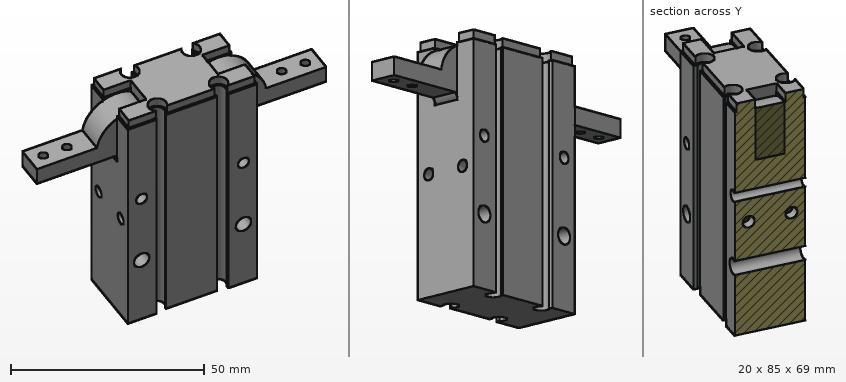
import cadquery as cq
import math

HOUSING_WIDTH = 20.0
HOUSING_DEPTH = 38.0
TOTAL_HEIGHT = 69.0
CAP_HEIGHT = 2.55
BODY_HEIGHT = TOTAL_HEIGHT - CAP_HEIGHT
EDGE_STEP = 0.5
WAIST_WIDTH = HOUSING_WIDTH - 2 * EDGE_STEP

GROOVE_X = 7.5
GROOVE_Y = 9.0
GROOVE_DIAMETER = 4.1
GROOVE_MOUTH = 3.1
CAP_NOTCH_DIAMETER = 5.0

SIDE_HOLE_Y = 15.0
UPPER_HOLE_DIAMETER = 3.2
UPPER_HOLE_Z = 41.1
LOWER_HOLE_DIAMETER = 4.5
LOWER_HOLE_Z = 20.15
END_HOLE_DIAMETER = 3.2
END_HOLE_X = 6.0
END_HOLE_Z = 33.0
END_HOLE_DEPTH = 5.95

FINGER_WIDTH = 8.0
CAP_SLOT_WIDTH = 8.5
POCKET_INNER_Y = 10.5
POCKET_FLOOR_Z = 51.1

FINGER_TIP_Y = 42.5
ARM_BOTTOM_Z = 53.0
ARM_TOP_Z = 58.05
HUB_RADIUS = 10.0
HUB_Y = SIDE_HOLE_Y
HUB_Z = BODY_HEIGHT - HUB_RADIUS
HEEL_RADIUS = 5.0
HEEL_Y = HUB_Y
HEEL_START_ANGLE = 25
FINGER_HOLE_DIAMETER = 2.5
FINGER_HOLE_YS = (31.5, 38.5)

SIDES = (-1, 1)


def block(width, depth, height, base_z):
    """Box centred on the Z axis, standing on base_z."""
    box = cq.Workplane("XY").box(width, depth, height, centered=(True, True, False))
    return box.translate((0, 0, base_z))


def end_block(width, inner_y, height, base_z, side):
    """Box from inner_y out to the housing end on one Y side."""
    depth = HOUSING_DEPTH / 2 - inner_y
    box = block(width, depth, height, base_z)
    return box.translate((0, side * (inner_y + depth / 2), 0))


def stepped_block(width, waist_width, depth, height, base_z):
    """Block whose side faces are set back between the two grooves."""
    waist = block(waist_width, depth, height, base_z)
    for side in SIDES:
        shoulder_depth = depth / 2 - GROOVE_Y
        shoulder = block(width, shoulder_depth, height, base_z)
        shoulder_y = side * (GROOVE_Y + shoulder_depth / 2)
        waist = waist.union(shoulder.translate((0, shoulder_y, 0)))
    return waist


def cut_grooves(body):
    mouth_length = HOUSING_WIDTH / 2 - GROOVE_X
    for x_side in SIDES:
        for y_side in SIDES:
            x = x_side * GROOVE_X
            y = y_side * GROOVE_Y
            bore = cq.Workplane("XY").center(x, y).circle(GROOVE_DIAMETER / 2).extrude(BODY_HEIGHT)
            mouth = block(mouth_length, GROOVE_MOUTH, BODY_HEIGHT, 0)
            mouth = mouth.translate((x + x_side * mouth_length / 2, y, 0))
            body = body.cut(bore).cut(mouth)
    return body


def cut_mounting_holes(body):
    for y_side in SIDES:
        y = y_side * SIDE_HOLE_Y
        for z, diameter in (
            (UPPER_HOLE_Z, UPPER_HOLE_DIAMETER),
            (LOWER_HOLE_Z, LOWER_HOLE_DIAMETER),
        ):
            drill = cq.Workplane("YZ").center(y, z).circle(diameter / 2)
            body = body.cut(drill.extrude(HOUSING_WIDTH / 2, both=True))
        for x_side in SIDES:
            start = cq.Vector(x_side * END_HOLE_X, y_side * HOUSING_DEPTH / 2, END_HOLE_Z)
            inward = cq.Vector(0, -y_side, 0)
            end_hole = cq.Solid.makeCylinder(END_HOLE_DIAMETER / 2, END_HOLE_DEPTH, start, inward)
            body = body.cut(cq.Workplane(end_hole))
    return body


def cut_pockets(body):
    for side in SIDES:
        height = BODY_HEIGHT - POCKET_FLOOR_Z
        body = body.cut(end_block(FINGER_WIDTH, POCKET_INNER_Y, height, POCKET_FLOOR_Z, side))
    return body


def make_cap():
    """Raised plate on top of the housing, notched around the grooves and fingers."""
    cap = stepped_block(
        HOUSING_WIDTH - 2 * EDGE_STEP,
        WAIST_WIDTH - 2 * EDGE_STEP,
        HOUSING_DEPTH - 2 * EDGE_STEP,
        CAP_HEIGHT,
        BODY_HEIGHT,
    )
    notches = (
        cq.Workplane("XY", origin=(0, 0, BODY_HEIGHT))
        .rect(2 * GROOVE_X, 2 * GROOVE_Y, forConstruction=True)
        .vertices()
        .circle(CAP_NOTCH_DIAMETER / 2)
        .extrude(CAP_HEIGHT)
    )
    cap = cap.cut(notches)
    for side in SIDES:
        cap = cap.cut(end_block(CAP_SLOT_WIDTH, POCKET_INNER_Y, CAP_HEIGHT, BODY_HEIGHT, side))
    return cap


def make_housing():
    body = stepped_block(HOUSING_WIDTH, WAIST_WIDTH, HOUSING_DEPTH, BODY_HEIGHT, 0)
    body = cut_grooves(body)
    body = cut_mounting_holes(body)
    body = cut_pockets(body)
    return body.union(make_cap())


def hub_point(angle):
    return (HUB_Y + HUB_RADIUS * math.cos(angle), HUB_Z + HUB_RADIUS * math.sin(angle))


def make_finger():
    """Finger on the +Y side: a round-topped hub in the pocket with a flat arm outwards."""
    start_angle = math.acos((POCKET_INNER_Y - HUB_Y) / HUB_RADIUS)
    end_angle = math.asin((ARM_TOP_Z - HUB_Z) / HUB_RADIUS)

    heel_start = math.radians(HEEL_START_ANGLE)
    heel_z = ARM_BOTTOM_Z + HEEL_RADIUS * math.sin(heel_start)
    heel_end = math.asin((heel_z - POCKET_FLOOR_Z) / HEEL_RADIUS)

    def heel_point(angle):
        return (HEEL_Y + HEEL_RADIUS * math.cos(angle), heel_z - HEEL_RADIUS * math.sin(angle))

    profile = (
        cq.Workplane("YZ")
        .moveTo(POCKET_INNER_Y, POCKET_FLOOR_Z)
        .lineTo(*hub_point(start_angle))
        .threePointArc(hub_point((start_angle + end_angle) / 2), hub_point(end_angle))
        .lineTo(FINGER_TIP_Y, ARM_TOP_Z)
        .lineTo(FINGER_TIP_Y, ARM_BOTTOM_Z)
        .lineTo(*heel_point(heel_start))
        .threePointArc(heel_point((heel_start + heel_end) / 2), heel_point(heel_end))
        .close()
    )
    finger = profile.extrude(FINGER_WIDTH / 2, both=True)
    holes = (
        cq.Workplane("XY", origin=(0, 0, ARM_BOTTOM_Z))
        .pushPoints([(0, y) for y in FINGER_HOLE_YS])
        .circle(FINGER_HOLE_DIAMETER / 2)
        .extrude(ARM_TOP_Z - ARM_BOTTOM_Z)
    )
    return finger.cut(holes)


housing = make_housing()
fingers = [make_finger().rotate((0, 0, 0), (0, 0, 1), angle) for angle in (0, 180)]

result = cq.Compound.makeCompound([housing.val(), *[finger.val() for finger in fingers]])